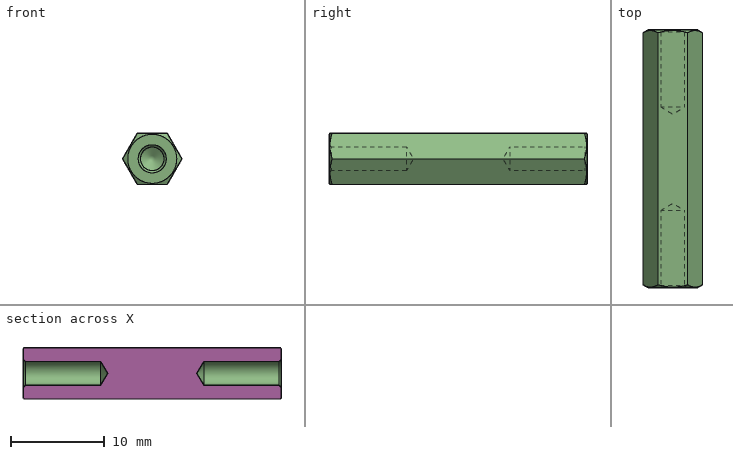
import cadquery as cq
import math

length = 27.5
across_flats = 5.5
across_corners = across_flats / math.cos(math.radians(30))

end_face_diameter = 5.22
chamfer_angle = 30.0

hole_diameter = 2.5
mouth_diameter = 3.0
hole_depth = 8.25
drill_point_angle = 118.0


def hexagon_bar():
    """Hexagonal bar centred on the origin, corners pointing along X."""
    return cq.Workplane("XZ").polygon(6, across_corners).extrude(length / 2, both=True)


def corner_trim():
    """Solid of revolution about Y whose conical ends cut the bar's corners."""
    half = length / 2
    end_radius = end_face_diameter / 2
    outer_radius = across_corners
    drop = (outer_radius - end_radius) * math.tan(math.radians(chamfer_angle))
    profile = [
        (0, -half),
        (end_radius, -half),
        (outer_radius, -half + drop),
        (outer_radius, half - drop),
        (end_radius, half),
        (0, half),
    ]
    return cq.Workplane("XY").polyline(profile).close().revolve(360, (0, 0), (0, 1))


def front_hole():
    """Hole volume entering from the -Y end, with a 45 degree countersink."""
    start = -length / 2
    radius = hole_diameter / 2
    mouth_radius = mouth_diameter / 2
    countersink_depth = mouth_radius - radius
    point_depth = radius / math.tan(math.radians(drill_point_angle / 2))
    profile = [
        (0, start),
        (mouth_radius, start),
        (radius, start + countersink_depth),
        (radius, start + hole_depth),
        (0, start + hole_depth + point_depth),
    ]
    return cq.Workplane("XY").polyline(profile).close().revolve(360, (0, 0), (0, 1))


hole = front_hole()
result = hexagon_bar().intersect(corner_trim()).cut(hole).cut(hole.mirror("XZ"))